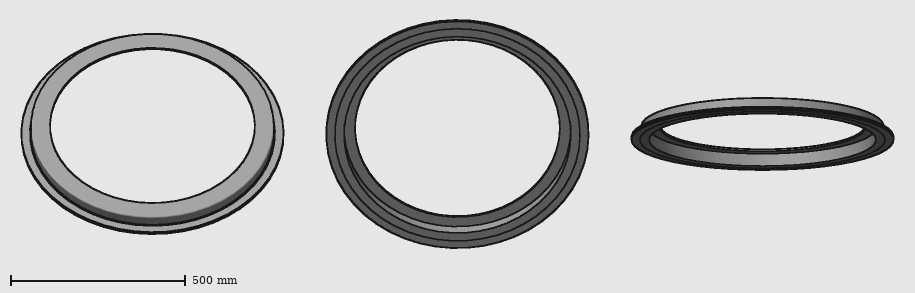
import cadquery as cq

outer_radius = 377.0
total_height = 42.0

flange_thickness = 9.0
rim_bevel_width = 1.0
rim_bevel_height = 2.0
flange_bore_radius = 352.0
dish_outer_radius = 356.0
dish_depth = 1.0

wall_outer_radius = 349.0
wall_inner_radius = 326.0
opening_radius = 294.0
lip_thickness = 6.0
top_fillet = 4.5
foot_height = 10.0


def revolve_section(points):
    """Turn a closed (radius, height) outline around the Z axis."""
    return cq.Workplane("XZ").polyline(points).close().revolve(360, (0, 0), (0, 1))


def make_flange():
    """Flat outer ring with a bevelled rim and a shallow dished edge at its bore."""
    dish_bottom = flange_thickness - dish_depth
    rim_flat_radius = outer_radius - rim_bevel_width
    return revolve_section([
        (flange_bore_radius, 0),
        (rim_flat_radius, 0),
        (outer_radius, rim_bevel_height),
        (outer_radius, flange_thickness - rim_bevel_height),
        (rim_flat_radius, flange_thickness),
        (dish_outer_radius, flange_thickness),
        (flange_bore_radius, dish_bottom),
    ])


def make_hat_ring():
    """Upright wall whose foot fits the flange bore, with an inward lip at the top."""
    hat_ring = revolve_section([
        (wall_inner_radius, 0),
        (flange_bore_radius, 0),
        (flange_bore_radius, foot_height),
        (wall_outer_radius, foot_height),
        (wall_outer_radius, total_height),
        (opening_radius, total_height),
        (opening_radius, total_height - lip_thickness),
        (wall_inner_radius, total_height - lip_thickness),
    ])
    top_outer_edge = hat_ring.faces(">Z").edges(cq.selectors.RadiusNthSelector(-1))
    return hat_ring.newObject(top_outer_edge.vals()).fillet(top_fillet)


flange = make_flange()
hat_ring = make_hat_ring()

result = cq.Compound.makeCompound([flange.val(), hat_ring.val()])